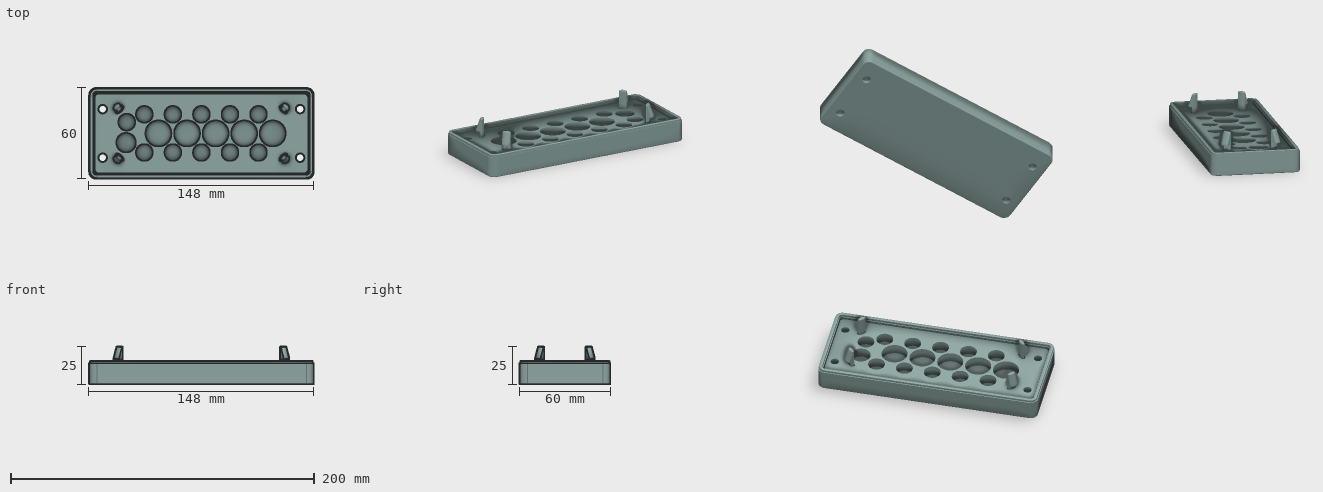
import cadquery as cq
import math

LENGTH = 148.0
WIDTH = 60.0
CORNER_RADIUS = 5.0
WALL = 3.3
POCKET_CORNER_RADIUS = 1.5
BOTTOM_FILLET = 0.7
WALL_TOP = 13.8
TRAY_FLOOR = 5.5

SEAL_LEDGE = 0.6
SEAL_EDGE_HEIGHT = 1.5
SEAL_CROWN = 0.3

INSERT_TOP = 12.5
INSERT_GAP = 0.5
INSERT_CORNER_RADIUS = 2.7

OPENING_PITCH = 18.8
OPENINGS_PER_ROW = 5
SMALL_OPENING_DIAMETER = 11.1
SMALL_ROW_START_X = -37.6
SMALL_ROW_Y = 12.6
LARGE_OPENING_DIAMETER = 17.2
LARGE_ROW_START_X = -28.3
SIDE_SMALL_OPENING = (-49.1, 7.4)
SIDE_MEDIUM_OPENING = (-49.6, -6.0)
MEDIUM_OPENING_DIAMETER = 12.9

MOUNT_X = 65.0
MOUNT_Y = 16.0
MOUNT_DIAMETER = 5.5

CLIP_X = 53.6
CLIP_Y = 15.4
CLIP_TOP = 25.0
CLIP_HALF_WIDTH = 2.7
CLIP_BACK_BULGE = 0.6
CLIP_TOP_FILLET = 0.7
STEM_DEPTH = 1.9
STEM_CHAMFER = 1.0
HOOK_BOTTOM = 16.3
HOOK_LIP_HEIGHT = 0.7
HOOK_REACH = 4.7
HOOK_TOP_REACH = 1.8
HOOK_FRONT_BULGE = 1.2
SLOT_CLEARANCE = 0.52


def rounded_block(inset, radius, bottom, top):
    """Upright block whose outline lies the given distance inside the frame outline."""
    return (
        cq.Workplane("XY", origin=(0, 0, bottom))
        .rect(LENGTH - 2 * inset, WIDTH - 2 * inset)
        .extrude(top - bottom)
        .edges("|Z")
        .fillet(radius)
    )


def four_corners(x, y):
    return [(sx * x, sy * y) for sx in (-1, 1) for sy in (-1, 1)]


def row_of_openings(start_x, y):
    return [(start_x + i * OPENING_PITCH, y) for i in range(OPENINGS_PER_ROW)]


def cylinders(points, diameter, bottom, top):
    base = cq.Workplane("XY", origin=(0, 0, bottom))
    return base.pushPoints(points).circle(diameter / 2).extrude(top - bottom)


def at_clip(shape, x, y):
    """Turn a clip shape outward along the 45 degree line of its quadrant and move it to its place."""
    angle = math.degrees(math.atan2(math.copysign(1, y), math.copysign(1, x)))
    return shape.rotate((0, 0, 0), (0, 0, 1), angle).translate((x, y, 0))


def stem_outline():
    """Closed outline of a clip stem at the tray floor, with a bulged back and a chamfered flat front."""
    return (
        cq.Workplane("XY", origin=(0, 0, TRAY_FLOOR))
        .moveTo(0, CLIP_HALF_WIDTH)
        .threePointArc((-CLIP_BACK_BULGE, 0), (0, -CLIP_HALF_WIDTH))
        .lineTo(STEM_DEPTH - STEM_CHAMFER, -CLIP_HALF_WIDTH)
        .lineTo(STEM_DEPTH, STEM_CHAMFER - CLIP_HALF_WIDTH)
        .lineTo(STEM_DEPTH, CLIP_HALF_WIDTH - STEM_CHAMFER)
        .lineTo(STEM_DEPTH - STEM_CHAMFER, CLIP_HALF_WIDTH)
        .close()
    )


def hook_outline(z, reach):
    """Closed outline of the hook at one height: bulged back, straight sides, bulged front."""
    side = reach - HOOK_FRONT_BULGE
    return (
        cq.Workplane("XY", origin=(0, 0, z))
        .moveTo(0, CLIP_HALF_WIDTH)
        .threePointArc((-CLIP_BACK_BULGE, 0), (0, -CLIP_HALF_WIDTH))
        .lineTo(side, -CLIP_HALF_WIDTH)
        .threePointArc((reach, 0), (side, CLIP_HALF_WIDTH))
        .close()
    )


def clip():
    """Stem from the tray floor, topped by a hook with a short upright lip and a sloped front."""
    lip_top = HOOK_BOTTOM + HOOK_LIP_HEIGHT
    lip = hook_outline(HOOK_BOTTOM, HOOK_REACH).extrude(HOOK_LIP_HEIGHT)
    wires = [hook_outline(lip_top, HOOK_REACH).val(), hook_outline(CLIP_TOP, HOOK_TOP_REACH).val()]
    ramp = cq.Workplane(cq.Solid.makeLoft(wires, True)).faces(">Z").edges().fillet(CLIP_TOP_FILLET)
    return stem_outline().extrude(HOOK_BOTTOM - TRAY_FLOOR).union(lip).union(ramp)


def clip_slot():
    """Opening in the insert that clears the clip stem all round."""
    return stem_outline().offset2D(SLOT_CLEARANCE).extrude(INSERT_TOP - TRAY_FLOOR)


def make_frame():
    """Tray with its mounting holes and the four snap clips that stand on its floor."""
    body = rounded_block(0, CORNER_RADIUS, 0, WALL_TOP).faces("<Z").edges().fillet(BOTTOM_FILLET)
    body = body.cut(rounded_block(WALL, POCKET_CORNER_RADIUS, TRAY_FLOOR, WALL_TOP))
    body = body.cut(cylinders(four_corners(MOUNT_X, MOUNT_Y), MOUNT_DIAMETER, 0, TRAY_FLOOR))
    for x, y in four_corners(CLIP_X, CLIP_Y):
        body = body.union(at_clip(clip(), x, y))
    return body.solids()


def make_insert():
    """Plate with the cable openings, the mounting holes and a slot for each clip."""
    body = rounded_block(WALL + INSERT_GAP, INSERT_CORNER_RADIUS, TRAY_FLOOR, INSERT_TOP)
    small = row_of_openings(SMALL_ROW_START_X, SMALL_ROW_Y)
    small += row_of_openings(SMALL_ROW_START_X, -SMALL_ROW_Y)
    small.append(SIDE_SMALL_OPENING)
    openings = [
        (small, SMALL_OPENING_DIAMETER),
        (row_of_openings(LARGE_ROW_START_X, 0), LARGE_OPENING_DIAMETER),
        ([SIDE_MEDIUM_OPENING], MEDIUM_OPENING_DIAMETER),
        (four_corners(MOUNT_X, MOUNT_Y), MOUNT_DIAMETER),
    ]
    for points, diameter in openings:
        body = body.cut(cylinders(points, diameter, TRAY_FLOOR, INSERT_TOP))
    for x, y in four_corners(CLIP_X, CLIP_Y):
        body = body.cut(at_clip(clip_slot(), x, y))
    return body.solids()


def make_seal():
    """Sweep the crowned bead section once round the wall top."""
    outer_y = SEAL_LEDGE - WIDTH / 2
    middle_y = (WALL - WIDTH) / 2
    inner_y = WALL - SEAL_LEDGE - WIDTH / 2
    edge_top = WALL_TOP + SEAL_EDGE_HEIGHT
    wall_middle = rounded_block(WALL / 2, CORNER_RADIUS - WALL / 2, WALL_TOP, edge_top)
    section = (
        cq.Workplane("YZ")
        .moveTo(outer_y, WALL_TOP)
        .lineTo(outer_y, edge_top)
        .threePointArc((middle_y, edge_top + SEAL_CROWN), (inner_y, edge_top))
        .lineTo(inner_y, WALL_TOP)
        .close()
    )
    return section.sweep(wall_middle.faces("<Z").wires())


frame = make_frame()
insert = make_insert()
seal = make_seal()
result = cq.Compound.makeCompound([frame.val(), insert.val(), seal.val()])